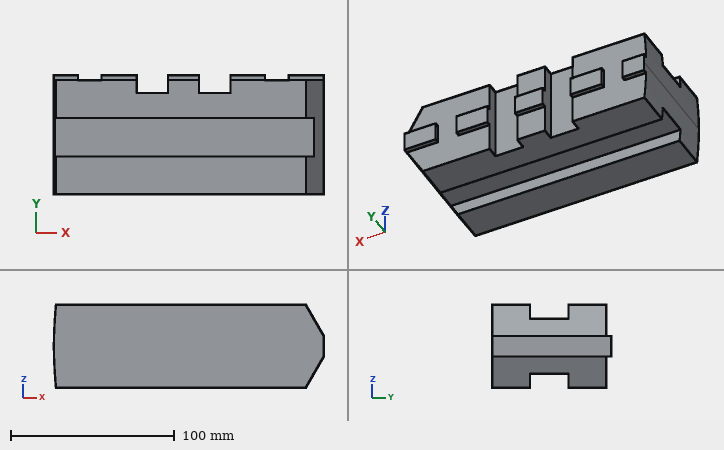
import cadquery as cq

LENGTH = 165.1
HEIGHT = 50.8
BODY_WIDTH = 69.85

CROWN_RISE = 1.33
CROWN_BOW = 0.265
NOSE_LENGTH = 11.0
NOSE_FLAT_HEIGHT = 12.7

GROOVE_WIDTH = BODY_WIDTH / 3
GROOVE_DEPTH = 8.5

TONGUE_HEIGHT = 12.7
TONGUE_PROJECTION = 3.05

SLOT_WIDTH = 19.05
SLOT_DEPTH = 7.8
SLOT_STARTS = (50.8, 88.9)

GAP_WIDTH = 14.3
GAP_STARTS = (14.9, 129.3)

REAR_X = -LENGTH / 2
NOSE_X = LENGTH / 2
FRONT_Y = -BODY_WIDTH / 2
BACK_Y = BODY_WIDTH / 2
HALF_HEIGHT = HEIGHT / 2
CLEARANCE = 1.0


def block(x_start, x_size, y_start, y_size, z_height, z_center=0.0):
    """Box placed by its low X and Y faces and its mid height."""
    box = cq.Workplane("XY").box(x_size, y_size, z_height, centered=(False, False, True))
    return box.translate((x_start, y_start, z_center))


def side_profile_prism(y_start, y_end):
    """Side outline extruded along Y; its crown is two equal arcs meeting in a faint mid-height ridge."""
    shoulder_x = NOSE_X - NOSE_LENGTH
    corner_x = REAR_X + CROWN_RISE
    half_flat = NOSE_FLAT_HEIGHT / 2
    outline = (
        cq.Workplane("XZ", origin=(0, y_start, 0))
        .moveTo(corner_x, HALF_HEIGHT)
        .lineTo(shoulder_x, HALF_HEIGHT)
        .lineTo(NOSE_X, half_flat)
        .lineTo(NOSE_X, -half_flat)
        .lineTo(shoulder_x, -HALF_HEIGHT)
        .lineTo(corner_x, -HALF_HEIGHT)
        .sagittaArc((REAR_X, 0), CROWN_BOW)
        .sagittaArc((corner_x, HALF_HEIGHT), CROWN_BOW)
        .close()
    )
    return outline.extrude(y_start - y_end)


def cut_tongue(part):
    """Leave an interrupted tongue on the +Y face: trim above and below it, then cut its gaps."""
    cutter_depth = TONGUE_PROJECTION + CLEARANCE
    trim_height = (HEIGHT - TONGUE_HEIGHT) / 2 + CLEARANCE
    trim_center = (TONGUE_HEIGHT + trim_height) / 2
    for side in (1, -1):
        trim = block(REAR_X, LENGTH, BACK_Y, cutter_depth, trim_height, side * trim_center)
        part = part.cut(trim)
    for start in GAP_STARTS:
        gap = block(REAR_X + start, GAP_WIDTH, BACK_Y, cutter_depth, HEIGHT)
        part = part.cut(gap)
    return part


def cut_grooves(part):
    """Full-length rectangular grooves, mirrored top and bottom."""
    cutter_height = GROOVE_DEPTH + CLEARANCE
    cutter_center = HALF_HEIGHT - GROOVE_DEPTH + cutter_height / 2
    for side in (1, -1):
        groove = block(REAR_X, LENGTH, -GROOVE_WIDTH / 2, GROOVE_WIDTH, cutter_height, side * cutter_center)
        part = part.cut(groove)
    return part


def cut_slots(part):
    """Through-height slots that cross the tongue and enter the body."""
    cutter_depth = SLOT_DEPTH + TONGUE_PROJECTION + CLEARANCE
    for start in SLOT_STARTS:
        slot = block(REAR_X + start, SLOT_WIDTH, BACK_Y - SLOT_DEPTH, cutter_depth, HEIGHT + CLEARANCE)
        part = part.cut(slot)
    return part


body = side_profile_prism(FRONT_Y, BACK_Y + TONGUE_PROJECTION)
result = cut_slots(cut_grooves(cut_tongue(body)))